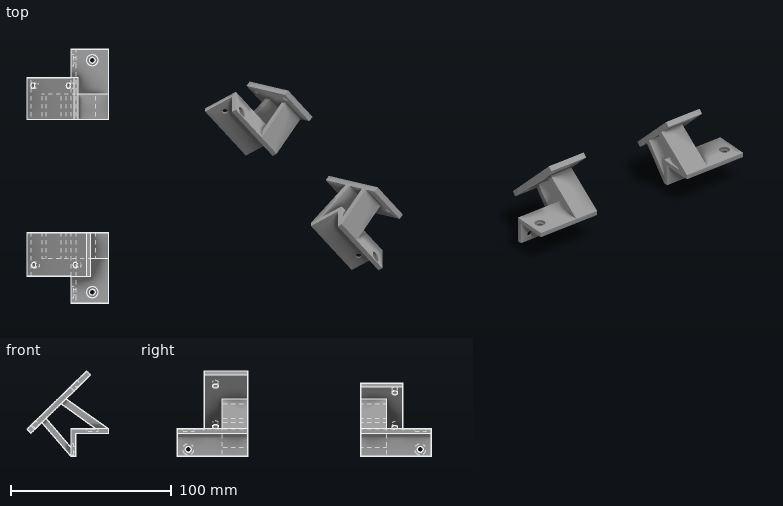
import cadquery as cq
import math

total_width = 50.7
total_length = 158.0
total_height = 53.1

bracket_width = 23.4
bracket_height = 17.2
bracket_length = 44.0
flange_thickness = 3.0
bracket_left = total_width - bracket_width
bracket_outer_end = total_length / 2
bracket_inner_end = bracket_outer_end - bracket_length

screw_diameter = 3.5
counterbore_diameter = 7.0
counterbore_depth = 1.6
screw_end_distance = 7.0
screw_y = bracket_outer_end - screw_end_distance
top_screw_edge_distance = 10.1
side_screw_height = 4.5

plate_angle = math.radians(44.3)
plate_thickness = 3.5
long_plate_length = 51.8
long_plate_width = 27.2
long_plate_hole_positions = (5.8, 41.9)
long_plate_hole_edge_distance = 7.1
short_plate_length = 41.0
short_plate_width = 26.2
short_plate_hole_edge_distance = 5.0
short_plate_hole_positions = (
    short_plate_hole_edge_distance,
    short_plate_length - short_plate_hole_edge_distance,
)
plate_base_z = total_height - long_plate_length * math.sin(plate_angle)

strut_length = 16.1
lower_strut_on_plate = (9.5, 13.3)
lower_strut_foot_height = 5.7
upper_strut_on_plate = (26.2, 30.7)
upper_strut_foot_width = 8.0


def slope_point(along, depth):
    """XZ point at a distance up the slope and a depth below the plate's upper face."""
    return (
        along * math.cos(plate_angle) + depth * math.sin(plate_angle),
        plate_base_z + along * math.sin(plate_angle) - depth * math.cos(plate_angle),
    )


def extrude_profile(points, start_y, length):
    """Extrude an XZ outline in +Y from start_y."""
    return (
        cq.Workplane("XZ", origin=(0, start_y, 0))
        .polyline(points)
        .close()
        .extrude(-length)
    )


def make_angle_bracket():
    flange_underside = bracket_height - flange_thickness
    outline = [
        (bracket_left, 0),
        (bracket_left + flange_thickness, 0),
        (bracket_left + flange_thickness, flange_underside),
        (total_width, flange_underside),
        (total_width, bracket_height),
        (bracket_left, bracket_height),
    ]
    return extrude_profile(outline, bracket_inner_end, bracket_length)


def cut_screw_hole(body, center, inward):
    """Cut a counterbored hole through one flange, starting at its outer face."""
    start = cq.Vector(*center)
    direction = cq.Vector(*inward)
    bore = cq.Solid.makeCylinder(screw_diameter / 2, flange_thickness, start, direction)
    counterbore = cq.Solid.makeCylinder(counterbore_diameter / 2, counterbore_depth, start, direction)
    return body.cut(cq.Workplane(bore)).cut(cq.Workplane(counterbore))


def make_plate(length, width, hole_positions, hole_edge_distance):
    outline = [
        slope_point(0, 0),
        slope_point(0, plate_thickness),
        slope_point(length, plate_thickness),
        slope_point(length, 0),
    ]
    plate = extrude_profile(outline, bracket_inner_end, width)
    hole_y = bracket_inner_end + width - hole_edge_distance
    normal_into_plate = cq.Vector(math.sin(plate_angle), 0, -math.cos(plate_angle))
    for along in hole_positions:
        x, z = slope_point(along, 0)
        hole = cq.Solid.makeCylinder(
            screw_diameter / 2, plate_thickness, cq.Vector(x, hole_y, z), normal_into_plate
        )
        plate = plate.cut(cq.Workplane(hole))
    return plate


def make_strut(plate_span, near_foot, far_foot):
    """Join a span of the plate underside to two points on the bracket."""
    near, far = plate_span
    outline = [
        slope_point(near, plate_thickness),
        near_foot,
        far_foot,
        slope_point(far, plate_thickness),
    ]
    return extrude_profile(outline, bracket_inner_end, strut_length)


def make_mount(plate_length, plate_width, hole_positions, hole_edge_distance):
    """Build one complete mount on the +Y side."""
    lower_strut = make_strut(
        lower_strut_on_plate,
        (bracket_left, 0),
        (bracket_left, lower_strut_foot_height),
    )
    upper_strut = make_strut(
        upper_strut_on_plate,
        (total_width - upper_strut_foot_width, bracket_height),
        (total_width, bracket_height),
    )
    plate = make_plate(plate_length, plate_width, hole_positions, hole_edge_distance)
    mount = make_angle_bracket().union(lower_strut).union(upper_strut).union(plate)
    top_screw_x = total_width - top_screw_edge_distance
    mount = cut_screw_hole(mount, (top_screw_x, screw_y, bracket_height), (0, 0, -1))
    return cut_screw_hole(mount, (bracket_left, screw_y, side_screw_height), (1, 0, 0))


short_plate_mount = make_mount(
    short_plate_length,
    short_plate_width,
    short_plate_hole_positions,
    short_plate_hole_edge_distance,
)

long_plate_mount = make_mount(
    long_plate_length,
    long_plate_width,
    long_plate_hole_positions,
    long_plate_hole_edge_distance,
).mirror("XZ")

result = cq.Compound.makeCompound([short_plate_mount.solids().val(), long_plate_mount.solids().val()])